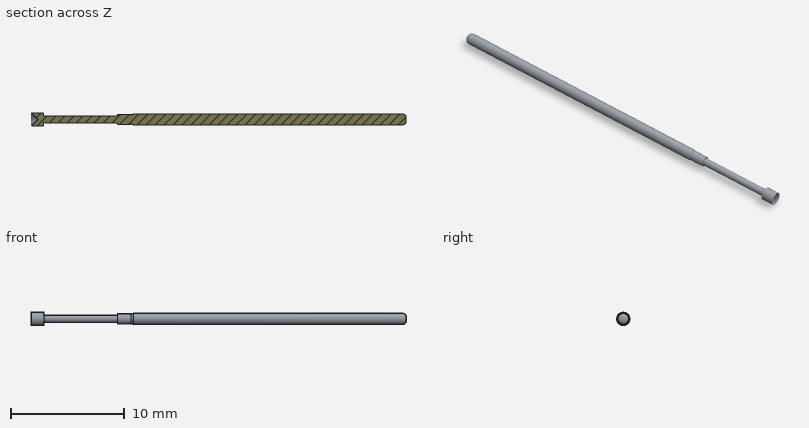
import cadquery as cq

total_length = 33.02

head_radius = 1.17 / 2
head_length = 1.14
cup_depth = head_radius

rod_radius = 0.68 / 2
neck_radius = 0.60 / 2
neck_length = 0.2

collar_start = 7.6
collar_radius = 0.93 / 2

barrel_start = 9.0
barrel_radius = 1.02 / 2
mouth_radius = 0.76 / 2
mouth_length = 0.2
tail_radius = 0.38

rod_start = head_length + neck_length
mouth_start = barrel_start - mouth_length


def add_head(outline):
    """From the point of the cup out to the rim, along the head and in to the neck."""
    return (
        outline.moveTo(cup_depth, 0)
        .lineTo(0, head_radius)
        .lineTo(head_length, head_radius)
        .lineTo(head_length, neck_radius)
    )


def add_plunger(outline):
    """Tapered neck, straight rod and collar, then in to the barrel mouth."""
    return (
        outline.lineTo(rod_start, rod_radius)
        .lineTo(collar_start, rod_radius)
        .lineTo(collar_start, collar_radius)
        .lineTo(mouth_start, collar_radius)
        .lineTo(mouth_start, mouth_radius)
    )


def add_barrel(outline):
    """Tapered mouth and straight barrel, down to the axis at the tail."""
    return (
        outline.lineTo(barrel_start, barrel_radius)
        .lineTo(total_length, barrel_radius)
        .lineTo(total_length, 0)
    )


def make_probe():
    """Revolve the half section about the X axis and round the tail."""
    half_section = add_barrel(add_plunger(add_head(cq.Workplane("XZ")))).close()
    probe = half_section.revolve(360, (0, 0, 0), (1, 0, 0))
    return probe.faces(">X").edges().fillet(tail_radius)


result = make_probe()